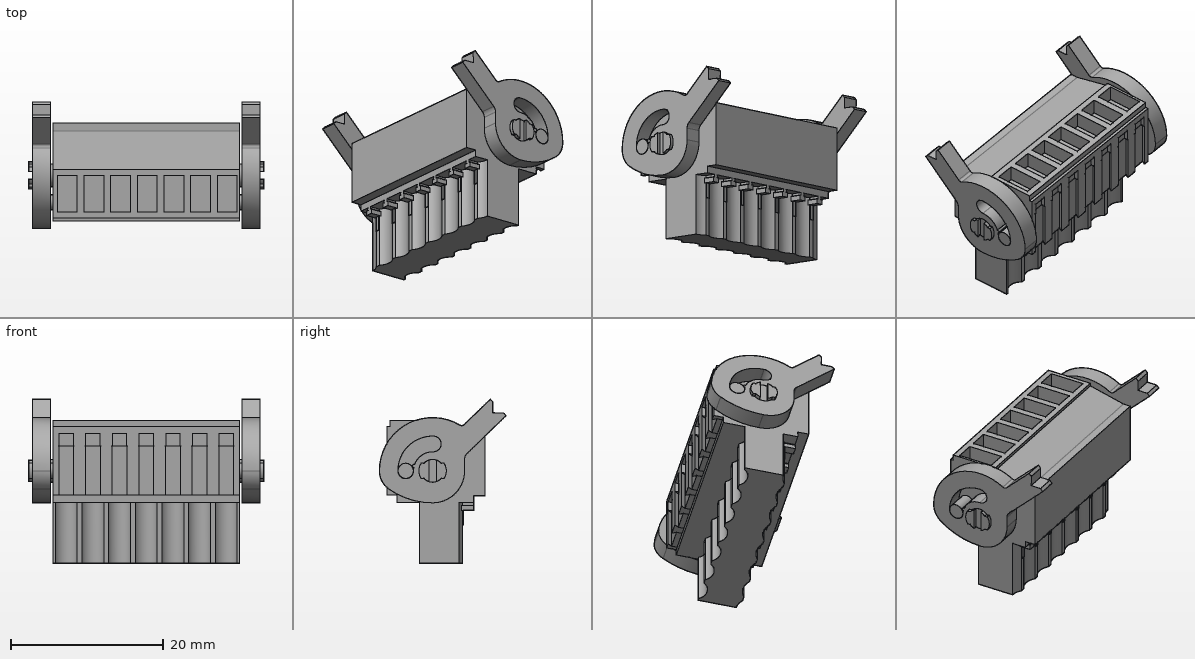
import cadquery as cq
import math


pole_count = 7
pitch = 3.5
pole_xs = [pitch * (i - (pole_count - 1) / 2) for i in range(pole_count)]

housing_width = pole_count * pitch
front_y = -6.0
top_front_y = -5.6
top_back_y = 0.8
back_shelf_y = 5.85
back_y = 6.9
top_z = 18.75
slope_top_z = 18.35
front_ledge_z = 17.95
back_shelf_z = 17.15
skirt_front_y = -4.7
skirt_back_y = 5.4
front_bottom_z = 8.95
back_bottom_z = 8.85
skirt_bottom_z = 7.95

plug_front_y = -1.75
plug_back_y = 3.95
groove_width = 2.85
front_groove_depth = 0.77
back_groove_depth = 0.5

hook_width = 1.0
hook_root_y = plug_back_y - 0.2
hook_neck_width = 0.6
hook_neck_bottom_z = 7.6
hook_bottom_z = 6.95
hook_rib_bottom_z = 5.0
hook_rib_height = 0.1

window_width = 2.6
window_front_y = -4.8
window_back_y = 0.0
window_depth = 2.15
window_shift_x = 0.125

slot_width = 1.88
slot_top_z = 17.0
slot_floor_y = front_y + 0.55
lower_slot_width = 1.96
lower_slot_floor_width = 2.56
plate_top_z = 15.4
plate_back_y = skirt_front_y

lever_thickness = 2.4
lever_gap = 0.3
pivot_z = 12.13
hub_radius = 4.2
cam_radius = 7.0
cam_underside_radius = 10.0
arm_angle = math.radians(44)
arm_length = 11.98
arm_half_width = 1.5
notch_depth = 1.0
notch_half_width = 1.0
heel_fillet = 1.0
throat_fillet = 0.45
lever_inner_x = housing_width / 2 + lever_gap
lever_outer_x = lever_inner_x + lever_thickness

pivot_radius = 1.5
pivot_head_thickness = 0.5
ear_radius = 1.8
ear_height = 2.0
screwdriver_slot = 1.0
pin_radius = 1.0
pin_orbit = 3.53
track_radius = 1.03
track_end_degrees = 88.5
detent_radius = 0.22
detent_degrees = 165


def box(x0, x1, y0, y1, z0, z1):
    """Box between two opposite corners."""
    return cq.Workplane("XY").box(x1 - x0, y1 - y0, z1 - z0, centered=False).translate((x0, y0, z0))


def pole_box(x, width, y0, y1, z0, z1):
    """Box of the given width centred on x."""
    return box(x - width / 2, x + width / 2, y0, y1, z0, z1)


def pivot_plane(x):
    """YZ sketch plane at x with its origin on the pivot axis, extruding toward +X."""
    return cq.Workplane("YZ", origin=(x, 0, pivot_z))


def along_arm(distance, offset):
    """Point on the arm: distance from the pivot along it, offset toward its upper edge."""
    y = distance * math.cos(arm_angle) - offset * math.sin(arm_angle)
    z = distance * math.sin(arm_angle) + offset * math.cos(arm_angle)
    return (y, z)


def on_circle(centre_y, centre_z, radius, degrees):
    """Point on a circle in the YZ plane."""
    angle = math.radians(degrees)
    return (centre_y + radius * math.cos(angle), centre_z + radius * math.sin(angle))


def make_shell():
    """Outer block with a stepped-down sloping back top, and the skirt below it."""
    outline = [
        (front_y, front_bottom_z),
        (front_y, front_ledge_z),
        (top_front_y, front_ledge_z),
        (top_front_y, top_z),
        (top_back_y, top_z),
        (top_back_y, slope_top_z),
        (back_shelf_y, back_shelf_z),
        (back_y, back_shelf_z),
        (back_y, back_bottom_z),
        (skirt_back_y, back_bottom_z),
        (skirt_back_y, skirt_bottom_z),
        (skirt_front_y, skirt_bottom_z),
        (skirt_front_y, front_bottom_z),
    ]
    start = cq.Workplane("YZ", origin=(-housing_width / 2, 0, 0))
    return start.polyline(outline).close().extrude(housing_width)


def make_groove(x, face_y, depth, inward):
    """Cutter for a vertical round groove; inward is the Y direction from the face into the plug."""
    radius = ((groove_width / 2) ** 2 + depth**2) / (2 * depth)
    centre_y = face_y + inward * (depth - radius)
    return cq.Workplane("XY").center(x, centre_y).circle(radius).extrude(skirt_bottom_z)


def make_plug():
    """Plug with a front groove at each pole and back grooves between the poles and at both ends."""
    half_width = housing_width / 2
    plug = box(-half_width, half_width, plug_front_y, plug_back_y, 0, skirt_bottom_z)
    for x in pole_xs:
        plug = plug.cut(make_groove(x, plug_front_y, front_groove_depth, 1))
        plug = plug.cut(make_groove(x - pitch / 2, plug_back_y, back_groove_depth, -1))
    return plug.cut(make_groove(half_width, plug_back_y, back_groove_depth, -1))


def make_hook(x):
    """Keying hook below the skirt, with a low rib running down the plug."""
    neck = pole_box(x, hook_neck_width, hook_root_y, skirt_back_y, hook_neck_bottom_z, skirt_bottom_z)
    head = pole_box(x, hook_width, hook_root_y, skirt_back_y, hook_bottom_z, hook_neck_bottom_z)
    rib_back_y = plug_back_y + hook_rib_height
    rib = pole_box(x, hook_neck_width, hook_root_y, rib_back_y, hook_rib_bottom_z, hook_bottom_z)
    return neck.union(head).union(rib)


def make_slot(x):
    """Front slot: a plain upper part over a dovetail lower part that is open at the bottom."""
    upper = pole_box(x, slot_width, front_y, slot_floor_y, plate_top_z, slot_top_z)
    half_mouth = lower_slot_width / 2
    half_floor = lower_slot_floor_width / 2
    dovetail = [
        (x - half_mouth, front_y),
        (x + half_mouth, front_y),
        (x + half_floor, slot_floor_y),
        (x - half_floor, slot_floor_y),
    ]
    start = cq.Workplane("XY", origin=(0, 0, front_bottom_z))
    lower = start.polyline(dovetail).close().extrude(plate_top_z - front_bottom_z)
    return upper.union(lower)


def make_plate(x):
    """Plate behind the lower part of a front slot, flush with the slot floor."""
    return pole_box(x, lower_slot_floor_width, slot_floor_y, plate_back_y, front_bottom_z, plate_top_z)


def make_pivot():
    """Pivot shaft with a slotted bayonet head and the stop pin, on the +X end."""
    root_x = housing_width / 2
    shaft = pivot_plane(root_x).circle(pivot_radius).extrude(lever_outer_x - root_x)
    head = pivot_plane(lever_outer_x).circle(pivot_radius).extrude(pivot_head_thickness)
    ears = pivot_plane(lever_outer_x).circle(ear_radius).extrude(pivot_head_thickness)
    ear_band = pivot_plane(lever_outer_x).rect(2 * ear_radius, ear_height).extrude(pivot_head_thickness)
    ears = ears.intersect(ear_band)
    groove = pivot_plane(lever_outer_x).rect(screwdriver_slot, 2 * pivot_radius).extrude(pivot_head_thickness)
    pin = pivot_plane(root_x).center(-pin_orbit, 0).circle(pin_radius).extrude(lever_outer_x - root_x)
    return shaft.union(head.union(ears).cut(groove)).union(pin)


def make_housing():
    """Shell, plug, hooks, windows, slots, plate pockets and both pivots as one body."""
    housing = make_shell().union(make_plug())
    for x in pole_xs:
        housing = housing.union(make_hook(x))
        window = pole_box(
            x + window_shift_x, window_width, window_front_y, window_back_y, top_z - window_depth, top_z
        )
        housing = housing.cut(window).cut(make_slot(x)).cut(make_plate(x))
    pivot = make_pivot()
    return housing.union(pivot).union(pivot.mirror("YZ"))


def make_lever_blank():
    """Lever outline: round hub, eccentric cam and a notched arm."""
    underside_z = cam_underside_radius - hub_radius
    nose_radius = (cam_underside_radius**2 - cam_radius**2 - underside_z**2) / (
        2 * (cam_underside_radius - cam_radius)
    )
    nose_y = nose_radius - cam_radius
    nose_end_degrees = math.degrees(math.atan2(-underside_z, nose_y))
    nose_middle_degrees = (nose_end_degrees - 180) / 2
    underside_middle_degrees = (nose_end_degrees - 90) / 2

    heel_distance = (hub_radius - arm_half_width * math.sin(arm_angle)) / math.cos(arm_angle)
    heel = along_arm(heel_distance, -arm_half_width)
    throat = along_arm(math.sqrt(cam_radius**2 - arm_half_width**2), arm_half_width)

    blank = (
        pivot_plane(lever_inner_x)
        .moveTo(hub_radius, 0)
        .lineTo(*heel)
        .lineTo(*along_arm(arm_length, -arm_half_width))
        .lineTo(*along_arm(arm_length, -notch_half_width))
        .lineTo(*along_arm(arm_length - notch_depth, 0))
        .lineTo(*along_arm(arm_length, notch_half_width))
        .lineTo(*along_arm(arm_length, arm_half_width))
        .lineTo(*throat)
        .threePointArc((0, cam_radius), (-cam_radius, 0))
        .threePointArc(
            on_circle(nose_y, 0, nose_radius, nose_middle_degrees),
            on_circle(nose_y, 0, nose_radius, nose_end_degrees),
        )
        .threePointArc(
            on_circle(0, underside_z, cam_underside_radius, underside_middle_degrees), (0, -hub_radius)
        )
        .threePointArc(on_circle(0, 0, hub_radius, -45), (hub_radius, 0))
        .close()
        .extrude(lever_thickness)
    )
    middle_x = lever_inner_x + lever_thickness / 2
    for (y, z), radius in ((heel, heel_fillet), (throat, throat_fillet)):
        corner = cq.selectors.NearestToPointSelector((middle_x, y, pivot_z + z))
        blank = blank.edges(corner).fillet(radius)
    return blank


def make_track():
    """Curved slot in which the stop pin travels, with a detent nub that holds the pin at its end."""
    inner = pin_orbit - track_radius
    outer = pin_orbit + track_radius
    middle_degrees = (180 + track_end_degrees) / 2
    end_centre = on_circle(0, 0, pin_orbit, track_end_degrees)
    track = (
        pivot_plane(lever_inner_x)
        .moveTo(-inner, 0)
        .threePointArc(on_circle(0, 0, inner, middle_degrees), on_circle(0, 0, inner, track_end_degrees))
        .threePointArc(
            on_circle(*end_centre, track_radius, track_end_degrees - 90),
            on_circle(0, 0, outer, track_end_degrees),
        )
        .threePointArc(on_circle(0, 0, outer, middle_degrees), (-outer, 0))
        .threePointArc((-pin_orbit, -track_radius), (-inner, 0))
        .close()
        .extrude(lever_thickness)
    )
    detent_centre = on_circle(0, 0, inner, detent_degrees)
    detent = pivot_plane(lever_inner_x).center(*detent_centre).circle(detent_radius).extrude(lever_thickness)
    return track.cut(detent)


def make_lever():
    """Lever on the +X end."""
    pivot_hole = pivot_plane(lever_inner_x).circle(pivot_radius).extrude(lever_thickness)
    return make_lever_blank().cut(pivot_hole).cut(make_track())


housing = make_housing()
plates = [make_plate(x) for x in pole_xs]
right_lever = make_lever()
left_lever = right_lever.mirror("YZ")

result = cq.Compound.makeCompound(
    [housing.val(), right_lever.val(), left_lever.val(), *[plate.val() for plate in plates]]
)